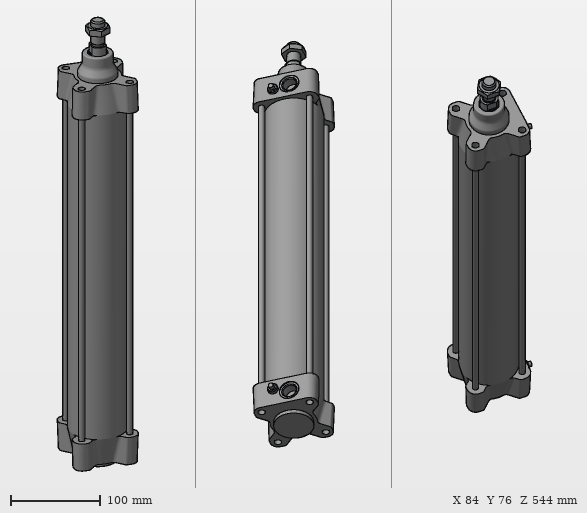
import cadquery as cq
import math

total_height = 544.0

cap_half_width = 38.0
cap_height = 34.0
cap_end_inset = 1.2
tie_rod_offset = 28.5
cap_corner_radius = 10.5
leg_half_width = 11.0
leg_tip_radius = 4.0
pocket_end_radius = 26.5
pocket_fillet = 5.5

barrel_diameter = 68.0
tie_rod_diameter = 7.0
screw_hole_diameter = 8.0
screw_hole_depth = 11.0

boss_diameter = 45.0
rear_boss_height = 5.0

front_cap_top = 475.5
neck_diameter = 35.0
neck_height = 28.5
neck_base_height = 5.5
neck_cone_height = 8.5
neck_cone_fillet = 6.0
neck_base_fillet = 3.0
neck_top_fillet = 1.5
wiper_recess_diameter = 23.0
wiper_recess_depth = 2.5

port_y = -7.0
port_from_end = 16.5
port_rim_diameter = 23.0
port_rim_depth = 1.5
port_diameter = 16.0
port_depth = 13.5
port_chamfer = 1.0
cushion_y = 11.5
cushion_from_end = 21.0
cushion_base_diameter = 12.0
cushion_shoulder_chamfer = 1.0
cushion_tip_diameter = 6.0
cushion_shoulder_reach = 42.0
cushion_tip_reach = 46.0

rod_diameter = 20.0
rod_flats = 17.0
rod_shoulder_drop = 30.5
thread_diameter = 16.0
thread_length = 28.0
thread_chamfer = 1.5
relief_diameter = 14.5

nut_across_flats = 24.5
nut_height = 8.0
nut_drop = 7.0
nut_chamfer_diameter = 22.5
nut_chamfer_angle = 30

selection_margin = 0.5

barrel_radius = barrel_diameter / 2
rear_cap_top = rear_boss_height + cap_height
front_cap_bottom = front_cap_top - cap_height
neck_top = front_cap_top + neck_height
rod_shoulder = total_height - rod_shoulder_drop
thread_bottom = total_height - thread_length
nut_bottom = total_height - nut_drop - nut_height
nut_across_corners = nut_across_flats / math.cos(math.pi / 6)
cap_taper = math.degrees(math.atan(cap_end_inset / cap_height))


def cylinder(diameter, bottom, top):
    """Upright cylinder on the Z axis."""
    return cq.Workplane("XY").workplane(offset=bottom).circle(diameter / 2).extrude(top - bottom)


def tie_rod_points(workplane):
    """The four tie rod centres."""
    return workplane.rect(2 * tie_rod_offset, 2 * tie_rod_offset, forConstruction=True).vertices()


def cap_pocket():
    """Wedge between two diagonal legs on the -Y side, down to a cone around the cap axis."""
    apex = leg_half_width * math.sqrt(2)
    reach = 2 * cap_half_width
    wedge = (
        cq.Workplane("XY")
        .polyline([(0, -apex), (reach, -apex - reach), (-reach, -apex - reach)])
        .close()
        .extrude(cap_height)
    )
    core = cq.Workplane("XY").add(
        cq.Solid.makeCone(barrel_radius, pocket_end_radius, cap_height)
    )
    pocket = wedge.cut(core)
    inner_corners = cq.selectors.BoxSelector(
        (-barrel_radius, -barrel_radius, selection_margin),
        (barrel_radius, 0, cap_height - selection_margin),
    )
    return pocket.edges(inner_corners).fillet(pocket_fillet)


def end_cap():
    """Cap with its barrel face at Z = 0 and its outer face at Z = cap_height."""
    width = 2 * cap_half_width
    cap = (
        cq.Workplane("XY")
        .sketch()
        .rect(width, width)
        .vertices()
        .fillet(cap_corner_radius)
        .finalize()
        .extrude(cap_height, taper=cap_taper)
    )
    pocket = cap_pocket()
    tip_edges = cq.selectors.BoxSelector(
        (-tie_rod_offset, -cap_half_width, selection_margin),
        (tie_rod_offset, -barrel_radius, cap_height - selection_margin),
    )
    for quarter_turn in (90, 90, 0):
        cap = cap.cut(pocket)
        cap = cap.edges("not(#Z)").edges(tip_edges).fillet(leg_tip_radius)
        cap = cap.rotate((0, 0, 0), (0, 0, 1), quarter_turn)

    hole_bottom = cap_height - screw_hole_depth
    screw_holes = tie_rod_points(cq.Workplane("XY").workplane(offset=hole_bottom))
    cap = cap.cut(screw_holes.circle(screw_hole_diameter / 2).extrude(screw_hole_depth))

    cap = cap.cut(air_port())
    return cap.union(cushion_screw())


def air_port():
    """Threaded port bored into the -X face, with a shallow seat around it."""
    axis_height = cap_height - port_from_end
    face = cq.Workplane("YZ", origin=(-cap_half_width, port_y, axis_height))
    bore = face.circle(port_diameter / 2).extrude(port_depth)
    seat = face.circle(port_rim_diameter / 2).extrude(port_rim_depth)
    mouth = cq.Solid.makeCone(
        port_diameter / 2 + port_chamfer,
        port_diameter / 2,
        port_chamfer,
        pnt=cq.Vector(port_rim_depth - cap_half_width, port_y, axis_height),
        dir=cq.Vector(1, 0, 0),
    )
    return bore.union(seat).union(cq.Workplane(mouth))


def cushion_screw():
    """Stepped screw head that stands out of the -X face."""
    axis_height = cap_height - cushion_from_end
    profile = (
        cq.Workplane("XY")
        .polyline(
            [
                (-barrel_radius, 0),
                (-barrel_radius, cushion_base_diameter / 2),
                (-cushion_shoulder_reach + cushion_shoulder_chamfer, cushion_base_diameter / 2),
                (-cushion_shoulder_reach, cushion_base_diameter / 2 - cushion_shoulder_chamfer),
                (-cushion_shoulder_reach, cushion_tip_diameter / 2),
                (-cushion_tip_reach, cushion_tip_diameter / 2),
                (-cushion_tip_reach, 0),
            ]
        )
        .close()
    )
    screw = profile.revolve(360, (0, 0, 0), (1, 0, 0))
    return screw.translate((0, cushion_y, axis_height))


def housing_body():
    """Barrel, both caps, tie rods and neck as one solid, bored for the piston rod."""
    rear_cap = end_cap().mirror("XY").translate((0, 0, rear_cap_top))
    front_cap = end_cap().translate((0, 0, front_cap_bottom))
    barrel = cylinder(barrel_diameter, rear_cap_top, front_cap_bottom)
    tie_rods = (
        tie_rod_points(cq.Workplane("XY").workplane(offset=rear_cap_top))
        .circle(tie_rod_diameter / 2)
        .extrude(front_cap_bottom - rear_cap_top)
    )
    rear_boss = cylinder(boss_diameter, 0, rear_boss_height)
    wiper_recess = cylinder(wiper_recess_diameter, neck_top - wiper_recess_depth, neck_top)
    rod_bore = cylinder(rod_diameter, front_cap_bottom, neck_top)
    return (
        barrel.union(rear_cap)
        .union(front_cap)
        .union(tie_rods)
        .union(rear_boss)
        .union(neck())
        .cut(wiper_recess)
        .cut(rod_bore)
    )


def rim_at(height, radius):
    """Selector for the circular edge that lies at one height."""
    return cq.selectors.BoxSelector(
        (-radius, -radius, height - selection_margin),
        (radius, radius, height + selection_margin),
    )


def neck():
    """Stepped neck: short wide base, cone, then a plain cylinder with a rounded rim."""
    base_radius = boss_diameter / 2
    radius = neck_diameter / 2
    cone_top = neck_base_height + neck_cone_height
    body = (
        cq.Workplane("XZ")
        .polyline(
            [
                (0, 0),
                (base_radius, 0),
                (base_radius, neck_base_height),
                (radius, cone_top),
                (radius, neck_height),
                (0, neck_height),
            ]
        )
        .close()
        .revolve()
    )
    body = body.edges(rim_at(cone_top, radius)).fillet(neck_cone_fillet)
    body = body.edges(rim_at(neck_base_height, base_radius)).fillet(neck_base_fillet)
    body = body.faces(">Z").edges().fillet(neck_top_fillet)
    return body.translate((0, 0, front_cap_top))


def piston_rod_body():
    """Rod with two wrench flats, a thread relief and a chamfered thread."""
    flats = cq.Workplane("XY").box(rod_diameter, rod_flats, rod_shoulder - neck_top)
    flats = flats.translate((0, 0, (rod_shoulder + neck_top) / 2))
    wrench_section = cylinder(rod_diameter, neck_top, rod_shoulder).intersect(flats)
    shank = cylinder(rod_diameter, front_cap_bottom, neck_top).union(wrench_section)
    relief = cylinder(relief_diameter, rod_shoulder, thread_bottom)
    thread = cylinder(thread_diameter, thread_bottom, total_height)
    thread = thread.faces(">Z").chamfer(thread_chamfer)
    return shank.union(relief).union(thread)


def lock_nut_body():
    """Hexagon nut with a corner on the X axis and its top corners chamfered."""
    nut = cq.Workplane("XY").polygon(6, nut_across_corners).extrude(nut_height)
    chamfer_width = (nut_across_corners - nut_chamfer_diameter) / 2
    chamfer_drop = chamfer_width * math.tan(math.radians(nut_chamfer_angle))
    trim = cylinder(nut_across_corners, 0, nut_height)
    trim = trim.faces(">Z").chamfer(chamfer_drop, chamfer_width)
    nut = nut.intersect(trim).translate((0, 0, nut_bottom))
    return nut.cut(cylinder(thread_diameter, nut_bottom, nut_bottom + nut_height))


housing = housing_body()
piston_rod = piston_rod_body()
lock_nut = lock_nut_body()
result = cq.Compound.makeCompound([housing.val(), piston_rod.val(), lock_nut.val()])